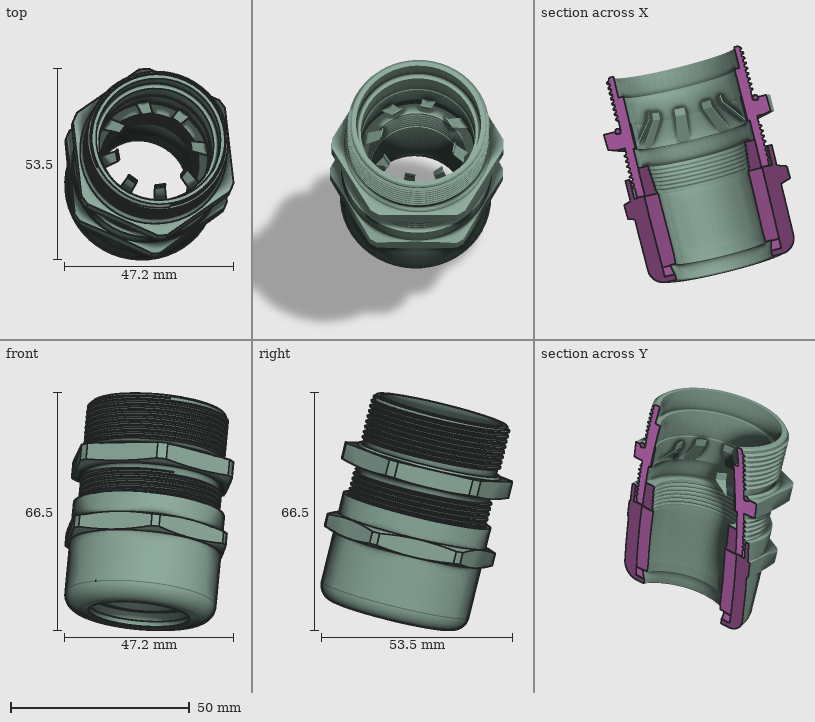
import cadquery as cq
import math


LEAN_ABOUT_X = -13.75
LEAN_ABOUT_Y = 5.4

BODY_TOP = 29.65
BODY_BOTTOM = -4.85
BORE_LEDGE = 23.6

CORE_RADIUS = 38.2 / 2
THREAD_RADIUS = 39.7 / 2
MOUTH_RADIUS = 35.0 / 2
BORE_RADIUS = 32.2 / 2
CLAMP_SEAT_RADIUS = 33.5 / 2
MOUTH_CHAMFER = 1.1

PITCH = 1.5005
CREST_WIDTH = 0.2
ROOT_WIDTH = 1.05
RIDGE_SINK = 0.1
UPPER_THREAD_START = 16.5
UPPER_THREAD_ANGLE = 135.0
UPPER_THREAD_TURNS = 8.4
LOWER_THREAD_START = -2.85
LOWER_THREAD_ANGLE = 180.0
LOWER_THREAD_TURNS = 7.3
NECK_BOTTOM = 7.8
NECK_TOP = 16.55

HEX_FLATS = 43.0
HEX_TURN = 5.1
HEX_CHAMFER_RADIUS = 21.3
BODY_HEX_CORNER_RADIUS = 24.05
BODY_HEX_BOTTOM = 9.4
BODY_HEX_TOP = 14.55
BODY_HEX_CHAMFER_ANGLE = 12.0
CAP_HEX_CORNER_RADIUS = 24.2
CAP_HEX_BOTTOM = -10.6
CAP_HEX_TOP = -5.25
CAP_HEX_CHAMFER_ANGLE = 18.0

SEAL_RING_SECTION = 0.765
SEAL_RING_RADIUS = CORE_RADIUS + SEAL_RING_SECTION

CAP_RADIUS = 42.4 / 2
CAP_TOP = 0.65
CAP_BOTTOM = -29.65
CAP_FACE_RADIUS = 33.5 / 2
CAP_OPENING_RADIUS = 28.2 / 2
CAP_CAVITY_RADIUS = 33.9 / 2
CAP_LIP = 1.7
OPENING_CHAMFER = 0.25

WASHER_BOTTOM_RADIUS = 28.4 / 2
WASHER_TOP_RADIUS = 14.7
WASHER_THICKNESS = 2.65
SEAL_RADIUS = 12.95
SEAL_FLARE_RADIUS = 13.15
SEAL_FLARE_LENGTH = 2.8
CLAMP_TOP_RADIUS = 27.7 / 2
CLAMP_BOTTOM_RADIUS = 13.2
CLAMP_TOP = 3.2
CLAMP_GROOVE_COUNT = 6
CLAMP_GROOVE_DEPTH = 0.3

BAND_BOTTOM = 8.7
BAND_TOP = 15.9
SPRING_THICKNESS = 0.25
FINGER_COUNT = 8
FINGER_TURN = 8.0
FINGER_ROOT_WIDTH = 3.85
FINGER_TIP_WIDTH = 2.85
FINGER_BEND_RADIUS = 10.4
FINGER_BEND_HEIGHT = 15.7
FINGER_TIP_RADIUS = 10.2
FINGER_TIP_HEIGHT = 17.6


def revolved(points):
    """Solid of revolution about Z from (radius, height) points."""
    return cq.Workplane("XZ").polyline(points).close().revolve(360, (0, 0, 0), (0, 1, 0))


def tube(inner, outer, bottom, top):
    return revolved([(inner, bottom), (outer, bottom), (outer, top), (inner, top)])


def thread_ridge(start, angle, turns):
    """Right-handed V ridge that starts at the height `start`, `angle` degrees from the +X side."""
    helix = cq.Wire.makeHelix(PITCH, turns * PITCH, CORE_RADIUS)
    foot = CORE_RADIUS - RIDGE_SINK
    section = [
        (foot, -ROOT_WIDTH / 2),
        (THREAD_RADIUS, -CREST_WIDTH / 2),
        (THREAD_RADIUS, CREST_WIDTH / 2),
        (foot, ROOT_WIDTH / 2),
    ]
    ridge = cq.Workplane("XZ").polyline(section).close().sweep(cq.Workplane(helix), isFrenet=True)
    return ridge.rotate((0, 0, 0), (0, 0, 1), angle).translate((0, 0, start))


def hexagon(bottom, top, corner_radius, chamfer_angle, chamfer_top):
    """Hexagonal collar with turned corners, chamfered below and, if asked, above."""
    prism = (
        cq.Workplane("XY", origin=(0, 0, bottom))
        .polygon(6, HEX_FLATS, circumscribed=True)
        .extrude(top - bottom)
        .rotate((0, 0, 0), (0, 0, 1), HEX_TURN)
    )
    drop = (corner_radius - HEX_CHAMFER_RADIUS) * math.tan(math.radians(chamfer_angle))
    blank = [(0, bottom), (HEX_CHAMFER_RADIUS, bottom), (corner_radius, bottom + drop)]
    if chamfer_top:
        blank += [(corner_radius, top - drop), (HEX_CHAMFER_RADIUS, top)]
    else:
        blank += [(corner_radius, top)]
    blank += [(0, top)]
    return prism.intersect(revolved(blank))


def seal_ring():
    """Round-section ring, half sunk into the top of the body hexagon."""
    return cq.Workplane("XY").add(
        cq.Solid.makeTorus(SEAL_RING_RADIUS, SEAL_RING_SECTION, cq.Vector(0, 0, BODY_HEX_TOP))
    )


def nipple_body():
    body = revolved([
        (CLAMP_SEAT_RADIUS, BODY_BOTTOM),
        (CORE_RADIUS, BODY_BOTTOM),
        (CORE_RADIUS, BODY_TOP),
        (MOUTH_RADIUS, BODY_TOP),
        (MOUTH_RADIUS, BORE_LEDGE),
        (BORE_RADIUS, BORE_LEDGE),
        (BORE_RADIUS, BAND_BOTTOM),
        (CLAMP_SEAT_RADIUS, BAND_BOTTOM),
    ])
    neck_clearance = tube(BORE_RADIUS, THREAD_RADIUS + RIDGE_SINK, NECK_BOTTOM, NECK_TOP)
    for start, angle, turns in (
        (UPPER_THREAD_START, UPPER_THREAD_ANGLE, UPPER_THREAD_TURNS),
        (LOWER_THREAD_START, LOWER_THREAD_ANGLE, LOWER_THREAD_TURNS),
    ):
        body = body.union(thread_ridge(start, angle, turns).cut(neck_clearance))
    chamfer_cutter = revolved([
        (THREAD_RADIUS - MOUTH_CHAMFER, BODY_TOP),
        (THREAD_RADIUS + MOUTH_CHAMFER, BODY_TOP - 2 * MOUTH_CHAMFER),
        (THREAD_RADIUS + MOUTH_CHAMFER, BODY_TOP + MOUTH_CHAMFER),
        (THREAD_RADIUS - MOUTH_CHAMFER, BODY_TOP + MOUTH_CHAMFER),
    ])
    body = body.cut(chamfer_cutter)
    collar = hexagon(
        BODY_HEX_BOTTOM, BODY_HEX_TOP, BODY_HEX_CORNER_RADIUS, BODY_HEX_CHAMFER_ANGLE, chamfer_top=False
    )
    collar = collar.cut(tube(0, BORE_RADIUS, BODY_HEX_BOTTOM, BODY_HEX_TOP))
    return body.union(collar).cut(seal_ring())


def cap():
    face_round = CAP_RADIUS - CAP_FACE_RADIUS
    round_height = CAP_BOTTOM + face_round
    round_middle = face_round * math.sqrt(0.5)
    shell = (
        cq.Workplane("XZ")
        .moveTo(0, CAP_BOTTOM)
        .lineTo(CAP_FACE_RADIUS, CAP_BOTTOM)
        .threePointArc(
            (CAP_FACE_RADIUS + round_middle, round_height - round_middle),
            (CAP_RADIUS, round_height),
        )
        .lineTo(CAP_RADIUS, CAP_TOP)
        .lineTo(0, CAP_TOP)
        .close()
        .revolve(360, (0, 0, 0), (0, 1, 0))
    )
    collar = hexagon(
        CAP_HEX_BOTTOM, CAP_HEX_TOP, CAP_HEX_CORNER_RADIUS, CAP_HEX_CHAMFER_ANGLE, chamfer_top=True
    )
    shell = shell.union(collar)
    lip_top = CAP_BOTTOM + CAP_LIP
    cavity = revolved([
        (0, CAP_BOTTOM),
        (CAP_OPENING_RADIUS + OPENING_CHAMFER, CAP_BOTTOM),
        (CAP_OPENING_RADIUS, CAP_BOTTOM + OPENING_CHAMFER),
        (CAP_OPENING_RADIUS, lip_top),
        (CAP_CAVITY_RADIUS, lip_top),
        (CAP_CAVITY_RADIUS, BODY_BOTTOM),
        (THREAD_RADIUS, BODY_BOTTOM),
        (THREAD_RADIUS, CAP_TOP),
        (0, CAP_TOP),
    ])
    return shell.cut(cavity)


def washer():
    """Ring on the cap lip whose opening widens upward."""
    bottom = CAP_BOTTOM + CAP_LIP
    top = bottom + WASHER_THICKNESS
    return revolved([
        (WASHER_BOTTOM_RADIUS, bottom),
        (CAP_CAVITY_RADIUS, bottom),
        (CAP_CAVITY_RADIUS, top),
        (WASHER_TOP_RADIUS, top),
    ])


def seal():
    bottom = CAP_BOTTOM + CAP_LIP + WASHER_THICKNESS
    return revolved([
        (SEAL_FLARE_RADIUS, bottom),
        (CAP_CAVITY_RADIUS, bottom),
        (CAP_CAVITY_RADIUS, BODY_BOTTOM),
        (SEAL_RADIUS, BODY_BOTTOM),
        (SEAL_RADIUS, bottom + SEAL_FLARE_LENGTH),
    ])


def clamp():
    """Sleeve in the body bore that narrows downward, with V grooves round its inside."""
    sleeve = revolved([
        (CLAMP_BOTTOM_RADIUS, BODY_BOTTOM),
        (CLAMP_SEAT_RADIUS, BODY_BOTTOM),
        (CLAMP_SEAT_RADIUS, CLAMP_TOP),
        (CLAMP_TOP_RADIUS, CLAMP_TOP),
    ])
    for number in range(1, CLAMP_GROOVE_COUNT + 1):
        fraction = number / (CLAMP_GROOVE_COUNT + 1)
        height = BODY_BOTTOM + fraction * (CLAMP_TOP - BODY_BOTTOM)
        radius = CLAMP_BOTTOM_RADIUS + fraction * (CLAMP_TOP_RADIUS - CLAMP_BOTTOM_RADIUS)
        groove = revolved([
            (radius - CLAMP_GROOVE_DEPTH, height - 2 * CLAMP_GROOVE_DEPTH),
            (radius + CLAMP_GROOVE_DEPTH, height),
            (radius - CLAMP_GROOVE_DEPTH, height + 2 * CLAMP_GROOVE_DEPTH),
        ])
        sleeve = sleeve.cut(groove)
    return sleeve


def contact_spring():
    inner = BORE_RADIUS - SPRING_THICKNESS
    spring = revolved([
        (inner, BAND_BOTTOM),
        (BORE_RADIUS, BAND_BOTTOM),
        (BORE_RADIUS, BAND_TOP),
        (inner, BAND_TOP - SPRING_THICKNESS),
    ])
    side = (
        cq.Workplane("XZ")
        .polyline([
            (inner, BAND_BOTTOM),
            (FINGER_BEND_RADIUS, FINGER_BEND_HEIGHT),
            (FINGER_TIP_RADIUS, FINGER_TIP_HEIGHT),
            (FINGER_TIP_RADIUS + SPRING_THICKNESS, FINGER_TIP_HEIGHT),
            (FINGER_BEND_RADIUS + SPRING_THICKNESS, FINGER_BEND_HEIGHT),
            (BORE_RADIUS, BAND_BOTTOM),
        ])
        .close()
        .extrude(FINGER_ROOT_WIDTH / 2, both=True)
    )
    outline = (
        cq.Workplane("XY")
        .polyline([
            (BORE_RADIUS, -FINGER_ROOT_WIDTH / 2),
            (BORE_RADIUS, FINGER_ROOT_WIDTH / 2),
            (FINGER_TIP_RADIUS - SPRING_THICKNESS, FINGER_TIP_WIDTH / 2),
            (FINGER_TIP_RADIUS - SPRING_THICKNESS, -FINGER_TIP_WIDTH / 2),
        ])
        .close()
        .extrude(BODY_TOP)
    )
    bore = cq.Workplane("XY").circle(BORE_RADIUS).extrude(BODY_TOP)
    finger = side.intersect(outline).intersect(bore)
    for number in range(FINGER_COUNT):
        angle = FINGER_TURN + number * 360 / FINGER_COUNT
        spring = spring.union(finger.rotate((0, 0, 0), (0, 0, 1), angle))
    return spring


def leaned(part):
    turned = part.rotate((0, 0, 0), (1, 0, 0), LEAN_ABOUT_X)
    return turned.rotate((0, 0, 0), (0, 1, 0), LEAN_ABOUT_Y).val()


result = cq.Compound.makeCompound([
    leaned(nipple_body()),
    leaned(seal_ring()),
    leaned(cap()),
    leaned(washer()),
    leaned(seal()),
    leaned(clamp()),
    leaned(contact_spring()),
])